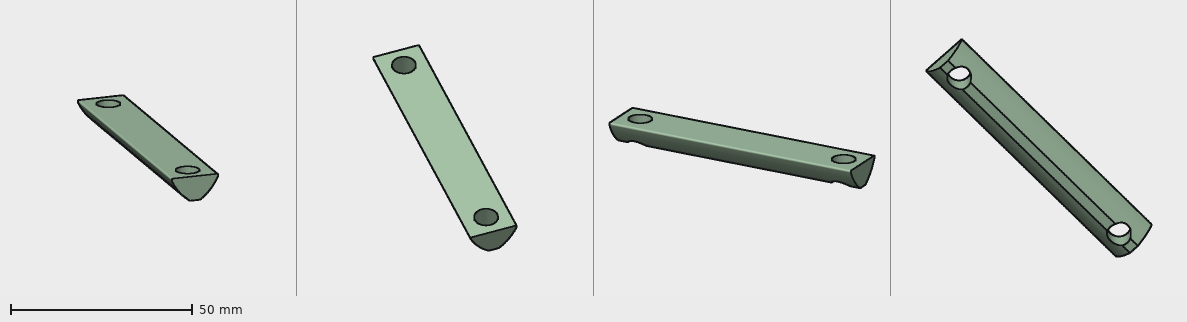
import cadquery as cq

length = 76.0
height = 7.0
sharp_top_width = 14.1
bottom_width = 3.05
flank_radius = 15.2
corner_radius = 0.45
hole_diameter = 6.6
hole_spacing = 64.0

half_top = sharp_top_width / 2
half_bottom = bottom_width / 2


def make_bar():
    """Bar along X with a flat top, bulging flanks and a narrow flat bottom."""
    bar = (
        cq.Workplane("YZ")
        .moveTo(-half_top, height)
        .lineTo(half_top, height)
        .radiusArc((half_bottom, 0), flank_radius)
        .lineTo(-half_bottom, 0)
        .radiusArc((-half_top, height), flank_radius)
        .close()
        .extrude(length / 2, both=True)
    )
    return bar.faces(">Z").edges("|X").fillet(corner_radius)


def drill_holes(bar):
    """Vertical through holes near both ends."""
    hole_centers = [(-hole_spacing / 2, 0), (hole_spacing / 2, 0)]
    return bar.faces(">Z").workplane(origin=(0, 0, height)).pushPoints(hole_centers).hole(hole_diameter)


result = drill_holes(make_bar())